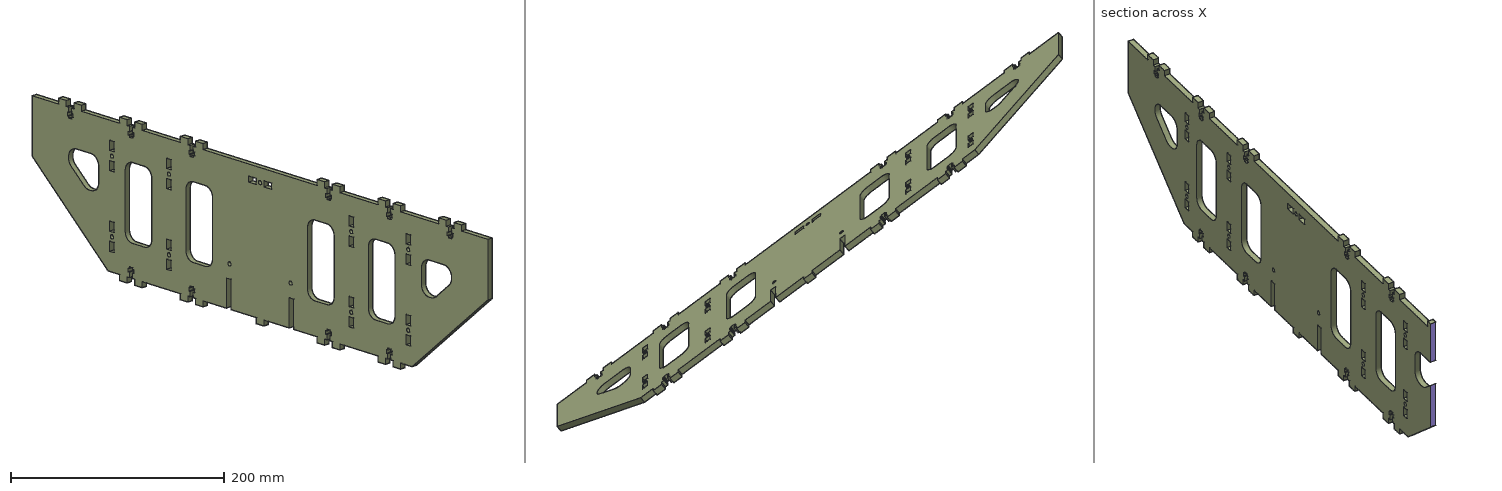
import cadquery as cq

length = 600.0
height = 150.0
thickness = 6.0
end_height = 60.0
corner_run = length / 6

joint_span = 30.0
prong_length = joint_span / 3
prong_offset = (joint_span - prong_length) / 2
screw_diameter = 4.0
nut_width = 7.0
nut_height = 3.5
nut_depth = 7.0
screw_slot_depth = 11.0

joint_pitch = 8 * prong_length
first_joint_x = 90.0
lower_joint_x = [first_joint_x, first_joint_x + joint_pitch]
upper_joint_x = lower_joint_x + [first_joint_x + 2 * joint_pitch]
window_x = [joint_pitch, 2 * joint_pitch]
slot_pair_x = [120.0, 195.0]
slot_pair_z = joint_pitch / 2
centre_slot_z = 60.0

window_width = 35.0
window_height = joint_pitch
window_radius = 9.5

end_window_inner_x = 212.5
end_window_outer_x = 252.0
end_window_top_z = 36.0
end_window_bottom_z = -0.5
end_window_margin_x = 54.0
end_window_radius = 10.0

notch_x = 41.5
notch_depth = 30.0
notch_hole_x = 40.0
notch_hole_z = -30.0

top_z = height / 2
bottom_z = -height / 2
half_length = length / 2
slope_top_z = top_z - end_height
tab_projection = thickness


def prism(sketch):
    """Extrude an XZ outline symmetrically to the plate thickness."""
    return sketch.extrude(thickness / 2, both=True)


def box(x, z, width, tall):
    """Block through the plate thickness, centred at (x, z)."""
    return prism(cq.Workplane("XZ").center(x, z).rect(width, tall))


def hole(x, z):
    """Screw hole cutter."""
    return prism(cq.Workplane("XZ").center(x, z).circle(screw_diameter / 2))


def both_sides(positions):
    """Mirror a list of X positions about the middle of the plate."""
    return [side * x for x in positions for side in (-1, 1)]


def plate():
    """Plain plate with sloped lower corners."""
    slope_bottom_x = half_length - corner_run
    outline = [
        (-half_length, top_z),
        (half_length, top_z),
        (half_length, slope_top_z),
        (slope_bottom_x, bottom_z),
        (-slope_bottom_x, bottom_z),
        (-half_length, slope_top_z),
    ]
    return prism(cq.Workplane("XZ").polyline(outline).close())


def edge_tab(body, x, edge_z):
    """Add a tab to a long edge; half of its block overlaps the plate."""
    return body.union(box(x, edge_z, prong_length, 2 * tab_projection))


def edge_joint(body, x, edge_z, outward):
    """Add two tabs to a long edge and cut the screw slot and nut pocket between them."""
    for side in (-1, 1):
        body = edge_tab(body, x + side * prong_offset, edge_z)
    slot_z = edge_z - outward * screw_slot_depth / 2
    nut_z = edge_z - outward * nut_depth
    body = body.cut(box(x, slot_z, screw_diameter, screw_slot_depth))
    return body.cut(box(x, nut_z, nut_width, nut_height))


def slot_pair(body, x, z, vertical):
    """Cut two slots for mating tabs, with a screw hole between them."""
    for side in (-1, 1):
        offset = side * prong_offset
        if vertical:
            body = body.cut(box(x, z + offset, thickness, prong_length))
        else:
            body = body.cut(box(x + offset, z, prong_length, thickness))
    return body.cut(hole(x, z))


def tall_window(x):
    """Cutter for a tall rounded window."""
    return box(x, 0, window_width, window_height).edges("|Y").fillet(window_radius)


def end_window():
    """Cutter for the five-sided window near the +X end."""
    slope = (height - end_height) / corner_run
    line_x = half_length - end_window_margin_x
    outer_z = slope_top_z + slope * (end_window_outer_x - line_x)
    bottom_x = line_x + (end_window_bottom_z - slope_top_z) / slope
    outline = [
        (end_window_inner_x, end_window_top_z),
        (end_window_outer_x, end_window_top_z),
        (end_window_outer_x, outer_z),
        (bottom_x, end_window_bottom_z),
        (end_window_inner_x, end_window_bottom_z),
    ]
    window = prism(cq.Workplane("XZ").polyline(outline).close())
    return window.edges("|Y").fillet(end_window_radius)


result = plate()

for joint_x in both_sides(upper_joint_x):
    result = edge_joint(result, joint_x, top_z, 1)
for joint_x in both_sides(lower_joint_x):
    result = edge_joint(result, joint_x, bottom_z, -1)

result = edge_tab(result, 0, bottom_z)

for pair_x in both_sides(slot_pair_x):
    for pair_z in (-slot_pair_z, slot_pair_z):
        result = slot_pair(result, pair_x, pair_z, True)
result = slot_pair(result, 0, centre_slot_z, False)

for x in both_sides(window_x):
    result = result.cut(tall_window(x))

right_window = end_window()
result = result.cut(right_window).cut(right_window.mirror("YZ"))

notch_z = bottom_z + notch_depth / 2
for side in (-1, 1):
    result = result.cut(box(side * notch_x, notch_z, thickness, notch_depth))
    result = result.cut(hole(side * notch_hole_x, notch_hole_z))